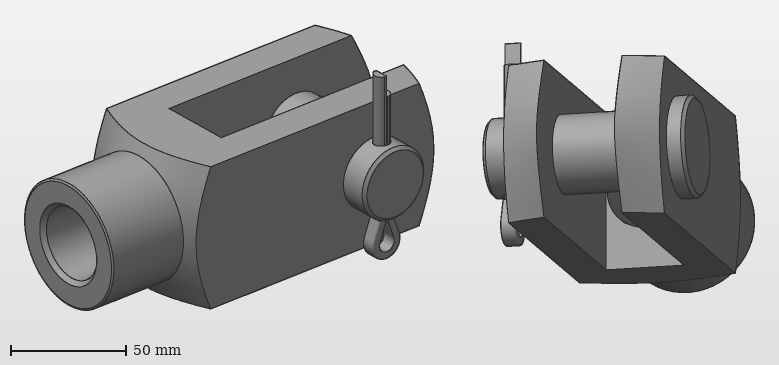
import cadquery as cq
import math

fork_length = 188.0
fork_width = 70.0
neck_diameter = 60.0
neck_length = 40.0
neck_chamfer_radial = 1.0
neck_chamfer_axial = 0.5
bore_diameter = 34.0
bore_chamfer = 2.0
slot_width = 35.0
slot_floor = 72.0
end_cone_angle = 30.0

pin_axis_y = 144.0
pin_diameter = 35.0
head_diameter = 45.0
head_thickness = 7.9
pin_length = 92.0
pin_chamfer = 1.5

cotter_x = 40.0
cotter_hole_diameter = 8.0
cotter_width = 7.0
leg_thickness = 3.8
leg_side_height = 1.1
leg_gap = 0.4
long_leg_top = 51.0
short_leg_top = 40.8
flare_z = -19.2
eye_bottom = -39.1
eye_outer_radius = 7.9
eye_edge_radius = 1.0

head_x = -fork_width / 2 - head_thickness


def make_turned_envelope():
    """Solid of revolution that gives the fork its neck and conical ends."""
    slope = math.tan(math.radians(end_cone_angle))
    neck_radius = neck_diameter / 2
    outer_radius = fork_width
    apex_y = fork_length + slope * slot_width / 2
    return (
        cq.Workplane("XY")
        .moveTo(0, 0)
        .lineTo(neck_radius - neck_chamfer_radial, 0)
        .lineTo(neck_radius, neck_chamfer_axial)
        .lineTo(neck_radius, neck_length)
        .lineTo(outer_radius, neck_length + slope * (outer_radius - neck_radius))
        .lineTo(outer_radius, apex_y - slope * outer_radius)
        .lineTo(0, apex_y)
        .close()
        .revolve(360, (0, 0, 0), (0, 1, 0))
    )


def make_bore():
    """Chamfered axial bore that opens into the slot."""
    radius = bore_diameter / 2
    return (
        cq.Workplane("XY")
        .moveTo(0, 0)
        .lineTo(radius + bore_chamfer, 0)
        .lineTo(radius, bore_chamfer)
        .lineTo(radius, slot_floor)
        .lineTo(0, slot_floor)
        .close()
        .revolve(360, (0, 0, 0), (0, 1, 0))
    )


def make_fork():
    centered_in_xz = (True, False, True)
    slot_length = fork_length
    block = cq.Workplane("XY").box(fork_width, fork_length, fork_width, centered=centered_in_xz)
    slot = (
        cq.Workplane("XY", origin=(0, slot_floor, 0))
        .box(slot_width, slot_length, fork_width, centered=centered_in_xz)
    )
    pin_hole = (
        cq.Workplane("YZ", origin=(-fork_width / 2, pin_axis_y, 0))
        .circle(pin_diameter / 2)
        .extrude(fork_width)
    )
    return block.intersect(make_turned_envelope()).cut(slot).cut(make_bore()).cut(pin_hole)


def make_pin():
    head = (
        cq.Workplane("YZ", origin=(head_x, pin_axis_y, 0))
        .circle(head_diameter / 2)
        .extrude(head_thickness)
        .faces("<X")
        .chamfer(pin_chamfer)
    )
    shank = (
        cq.Workplane("YZ", origin=(head_x, pin_axis_y, 0))
        .circle(pin_diameter / 2)
        .extrude(pin_length)
        .faces(">X")
        .chamfer(pin_chamfer)
    )
    cotter_hole = (
        cq.Workplane("XY", origin=(cotter_x, pin_axis_y, -pin_diameter / 2))
        .circle(cotter_hole_diameter / 2)
        .extrude(pin_diameter)
    )
    return head.union(shank).cut(cotter_hole)


def make_drop(half_opening, radius):
    """Drop-shaped plate: straight flares from the legs run tangent into a round bottom."""
    eye_z = eye_bottom + eye_outer_radius
    rise = flare_z - eye_z
    reach = math.hypot(half_opening, rise)
    tangent_angle = math.atan2(rise, half_opening) - math.acos(radius / reach)
    tangent_y = radius * math.cos(tangent_angle)
    tangent_z = eye_z + radius * math.sin(tangent_angle)
    return (
        cq.Workplane("YZ", origin=(cotter_x - cotter_width / 2, pin_axis_y, 0))
        .moveTo(-half_opening, flare_z)
        .lineTo(-tangent_y, tangent_z)
        .threePointArc((0, eye_z - radius), (tangent_y, tangent_z))
        .lineTo(half_opening, flare_z)
        .close()
        .extrude(cotter_width)
    )


def make_leg(side, top):
    """Straight leg with a rounded back; side is -1 or +1 along Y."""
    half_width = cotter_width / 2
    inner_y = side * leg_gap / 2
    side_y = inner_y + side * leg_side_height
    back_y = inner_y + side * leg_thickness
    return (
        cq.Workplane("XY", origin=(cotter_x, pin_axis_y, flare_z))
        .moveTo(-half_width, inner_y)
        .lineTo(-half_width, side_y)
        .threePointArc((0, back_y), (half_width, side_y))
        .lineTo(half_width, inner_y)
        .close()
        .extrude(top - flare_z)
    )


def make_cotter():
    """Two legs of unequal length joined by a drop-shaped eye."""
    half_gap = leg_gap / 2
    eye = (
        make_drop(half_gap + leg_thickness, eye_outer_radius)
        .faces("<X or >X")
        .edges("not |Y")
        .fillet(eye_edge_radius)
        .cut(make_drop(half_gap, eye_outer_radius - leg_thickness))
    )
    return eye.union(make_leg(-1, long_leg_top)).union(make_leg(1, short_leg_top))


fork = make_fork()
pin = make_pin()
cotter = make_cotter()

result = cq.Compound.makeCompound([body.solids().val() for body in (fork, pin, cotter)])